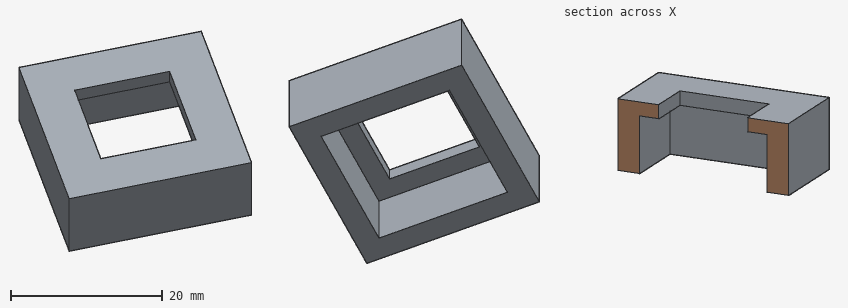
import cadquery as cq

side = 25.0
height = 10.0

opening_side = 13.0
lip_thickness = 2.0
cavity_side = 18.6
cavity_depth = height - lip_thickness


def square_prism(width, prism_height):
    """Square prism centred on Z, standing on the bottom plane."""
    return cq.Workplane("XY").box(width, width, prism_height, centered=(True, True, False))


block = square_prism(side, height)
opening = square_prism(opening_side, height)
cavity = square_prism(cavity_side, cavity_depth)

result = block.cut(opening).cut(cavity)